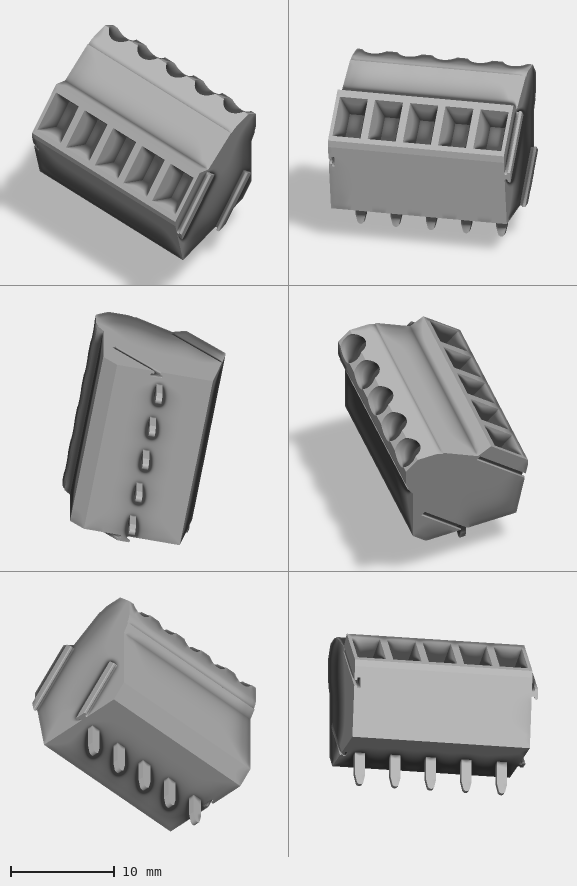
import cadquery as cq
import math


POLE_COUNT = 5
LENGTH = 18.1
RAIL_HEIGHT = 0.6
HOUSING_LENGTH = LENGTH - RAIL_HEIGHT
PITCH = HOUSING_LENGTH / POLE_COUNT
DEPTH = 12.7
HOUSING_HEIGHT = 12.69
PIN_LENGTH = 3.2

FRONT_FOOT_Y = 1.21
FRONT_EDGE_LOW_Z = 6.79
FRONT_EDGE_HIGH_Z = 7.45
WIRE_FACE_RUN = 3.84
VALLEY_Y = 5.21
BACK_RECESS = 0.72
FOOT_CHAMFER = 1.35
TOP_CHAMFER = 1.23
SHOULDER_START = 2.95
SHOULDER_ANGLE = 35.0
SHOULDER_RADIUS = 1.5
LIP_ALONG = 3.95
LIP_DROP = 0.16
LIP_SLOPE_ANGLE = 30.8

FUNNEL_WIDTH = 2.79
FUNNEL_HEIGHT = 4.16
FUNNEL_TAPER = 0.67
FUNNEL_DEPTH = 2.45
FUNNEL_CENTRE_Y = 1.85

SCREW_HOLE_RADIUS = 1.47
SCREW_HOLE_DEPTH = 2.57
SCREW_HOLE_INSET = 0.65

RAIL_STARTS = [(5.14, 10.06), (10.91, 4.27)]
RAIL_RUN = 10.86
ROOT_HALF_WIDTH = 0.25
WAIST_HALF_WIDTH = 0.2
HEAD_HALF_WIDTH = 0.43
WAIST_START = 0.1
WAIST_END = 0.16
HEAD_START = 0.29
HEAD_CHAMFER = 0.05

PIN_WIDTH = 1.01
PIN_THICKNESS = 0.6
PIN_Y = 6.23
PIN_TAPER_START = 2.2
PIN_TIP_START = 3.0
PIN_TIP_WIDTH = 0.62

LIP_SLOPE = math.tan(math.radians(LIP_SLOPE_ANGLE))

SIN_45 = math.sqrt(0.5)


def pole_x(pole):
    return (pole + 0.5) * PITCH


def shoulder_arc():
    """Middle and end of a shoulder, as (along, drop) from the top back corner."""
    def arc_point(degrees):
        angle = math.radians(degrees)
        along = SHOULDER_START + SHOULDER_RADIUS * math.sin(angle)
        return along, SHOULDER_RADIUS * (1 - math.cos(angle))

    return arc_point(SHOULDER_ANGLE / 2), arc_point(SHOULDER_ANGLE)


def on_top(along, drop):
    """A point near the top edge, given by its distances from the top back corner."""
    return DEPTH - along, HOUSING_HEIGHT - drop


def on_back(along, drop):
    """The mirror image of an on_top point, near the back edge."""
    return DEPTH - drop, HOUSING_HEIGHT - along


def slope_drop(along):
    """Drop of the straight slope that follows the lip of a shoulder."""
    return LIP_DROP + (along - LIP_ALONG) * LIP_SLOPE


def housing_outline():
    """The closed housing outline in YZ, ready to extrude along X."""
    arc_middle, arc_end = shoulder_arc()
    back_y = DEPTH - BACK_RECESS
    valley_along = DEPTH - VALLEY_Y
    back_slope_along = LIP_ALONG + (BACK_RECESS - LIP_DROP) / LIP_SLOPE
    return (
        cq.Workplane("YZ")
        .moveTo(FRONT_FOOT_Y, 0)
        .lineTo(0, FRONT_EDGE_LOW_Z)
        .lineTo(0, FRONT_EDGE_HIGH_Z)
        .lineTo(WIRE_FACE_RUN, FRONT_EDGE_HIGH_Z + WIRE_FACE_RUN)
        .lineTo(*on_top(valley_along, slope_drop(valley_along)))
        .lineTo(*on_top(LIP_ALONG, LIP_DROP))
        .lineTo(*on_top(*arc_end))
        .threePointArc(on_top(*arc_middle), on_top(SHOULDER_START, 0))
        .lineTo(*on_top(TOP_CHAMFER, 0))
        .lineTo(*on_back(TOP_CHAMFER, 0))
        .lineTo(*on_back(SHOULDER_START, 0))
        .threePointArc(on_back(*arc_middle), on_back(*arc_end))
        .lineTo(*on_back(LIP_ALONG, LIP_DROP))
        .lineTo(*on_back(back_slope_along, BACK_RECESS))
        .lineTo(back_y, FOOT_CHAMFER)
        .lineTo(back_y - FOOT_CHAMFER, 0)
        .close()
    )


def wire_funnel(pole):
    """A tapered pocket, square to the wire face."""
    mouth = cq.Plane(
        origin=(pole_x(pole), FUNNEL_CENTRE_Y, FRONT_EDGE_HIGH_Z + FUNNEL_CENTRE_Y),
        xDir=(1, 0, 0),
        normal=(0, SIN_45, -SIN_45),
    )
    return (
        cq.Workplane(mouth)
        .rect(FUNNEL_WIDTH, FUNNEL_HEIGHT)
        .workplane(offset=FUNNEL_DEPTH)
        .rect(FUNNEL_WIDTH - 2 * FUNNEL_TAPER, FUNNEL_HEIGHT - 2 * FUNNEL_TAPER)
        .loft(ruled=True)
    )


def screw_hole(pole):
    """A flat-bottomed round hole, square to the top back chamfer and open above it."""
    inward = cq.Vector(0, -SIN_45, -SIN_45)
    centre = cq.Vector(
        pole_x(pole),
        DEPTH - SCREW_HOLE_INSET,
        HOUSING_HEIGHT - TOP_CHAMFER + SCREW_HOLE_INSET,
    )
    hole = cq.Solid.makeCylinder(
        SCREW_HOLE_RADIUS,
        SCREW_HOLE_DEPTH + SCREW_HOLE_RADIUS,
        centre - inward * SCREW_HOLE_RADIUS,
        inward,
    )
    return cq.Workplane(hole)


def joining_bar(side_x, start):
    """A T-shaped bar standing on the plane X = side_x, running down from its square upper end."""
    upper_end = cq.Plane(
        origin=(side_x, *start),
        xDir=(1, 0, 0),
        normal=(0, -SIN_45, -SIN_45),
    )
    half_section = [
        (0, ROOT_HALF_WIDTH),
        (WAIST_START, WAIST_HALF_WIDTH),
        (WAIST_END, WAIST_HALF_WIDTH),
        (HEAD_START, ROOT_HALF_WIDTH),
        (HEAD_START, HEAD_HALF_WIDTH - HEAD_CHAMFER),
        (HEAD_START + HEAD_CHAMFER, HEAD_HALF_WIDTH),
        (RAIL_HEIGHT - HEAD_CHAMFER, HEAD_HALF_WIDTH),
        (RAIL_HEIGHT, HEAD_HALF_WIDTH - HEAD_CHAMFER),
    ]
    other_half = [(height, -half_width) for height, half_width in reversed(half_section)]
    return cq.Workplane(upper_end).polyline(half_section + other_half).close().extrude(RAIL_RUN)


def make_housing():
    body = housing_outline().extrude(HOUSING_LENGTH)
    rail_limits = housing_outline().extrude(LENGTH)
    for start in RAIL_STARTS:
        rail = joining_bar(HOUSING_LENGTH, start).intersect(rail_limits)
        body = body.union(rail).cut(joining_bar(0, start))
    for pole in range(POLE_COUNT):
        body = body.cut(wire_funnel(pole)).cut(screw_hole(pole))
    return body


def make_pin(pole):
    """A flat pin below the housing, tapering to a rounded tip."""
    half_width = PIN_WIDTH / 2
    half_tip = PIN_TIP_WIDTH / 2
    front_plane = cq.Plane(
        origin=(pole_x(pole), PIN_Y + PIN_THICKNESS / 2, 0),
        xDir=(1, 0, 0),
        normal=(0, -1, 0),
    )
    return (
        cq.Workplane(front_plane)
        .moveTo(-half_width, 0)
        .lineTo(-half_width, -PIN_TAPER_START)
        .lineTo(-half_tip, -PIN_TIP_START)
        .threePointArc((0, -PIN_LENGTH), (half_tip, -PIN_TIP_START))
        .lineTo(half_width, -PIN_TAPER_START)
        .lineTo(half_width, 0)
        .close()
        .extrude(PIN_THICKNESS)
    )


housing = make_housing()
pins = [make_pin(pole).val() for pole in range(POLE_COUNT)]
result = cq.Compound.makeCompound([housing.val(), *pins])